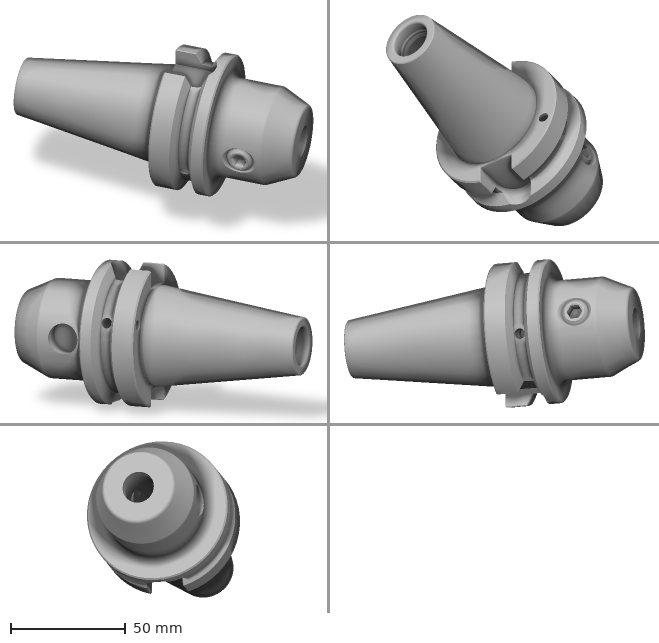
import cadquery as cq
import math

LENGTH = 128.4

GAUGE_X = 65.4
GAUGE_RADIUS = 22.2
TAPER_SLOPE = 7 / 48
SHANK_RADIUS = GAUGE_RADIUS - GAUGE_X * TAPER_SLOPE
SHANK_CHAMFER = 0.4
RELIEF_LENGTH = 1.4
RELIEF_DEPTH = 0.1
RELIEF_FILLET = 0.6

FLANGE_START = 67.4
FLANGE_END = 92.5
FLANGE_RADIUS = 63.0 / 2
FLANGE_CHAMFER = 0.6
GROOVE_X = 82.0
GROOVE_FLOOR_RADIUS = 26.3
GROOVE_FLOOR_WIDTH = 4.4
GROOVE_WALL_RADIUS = 27.2
GROOVE_WALL_WIDTH = 4.9
GROOVE_FLANK_ANGLE = 30.0

KEYWAY_WIDTH = 16.0
KEYWAY_FLOOR = 22.5
KEYWAY_END = 88.9
KEYWAY_CHAMFER = 0.4

NOSE_RADIUS = 22.0
NOSE_FLANGE_FILLET = 3.1
NOSE_CONE_START = 115.4
NOSE_CONE_ANGLE = 25.0
NOSE_ROUNDING = 1.5

BORE_RADIUS = 14.0 / 2
COUNTERBORE_RADIUS = 8.5
COUNTERBORE_DEPTH = 5.5
COUNTERBORE_ROUNDING = 1.0
STEP_RADIUS = 8.0
STEP_LENGTH = 1.3
THROAT_RADIUS = 15.3 / 2
THROAT_LENGTH = 1.2

TILTED_RADIUS = 2.2
RADIAL_RADIUS = 2.3
COOLANT_ANGLE = 20.5
COOLANT_PITCH_RADIUS = 26.8
COOLANT_TILT = 30.0

SCREW_X = LENGTH - 22.5
SCREW_RADIUS = 12.0 / 2
SCREW_HEAD_RADIUS = 4.5
SCREW_TIP_Y = -5.9
SCREW_HEAD_Y = -21.8
SCREW_SINK_RADIUS = 7.6
SOCKET_FLATS = 6.0
SOCKET_DEPTH = 5.1
SOCKET_TURN = 30.0
SOCKET_MOUTH_RADIUS = 3.7
SOCKET_MOUTH_DEPTH = 0.4

BALANCE_X = 103.5
BALANCE_RADIUS = 6.8
BALANCE_DEPTH = 7.7


def revolve_about_x(outline):
    """Solid of revolution from (x, radius) points, closed along the axis."""
    return cq.Workplane("XY").polyline(outline).close().revolve(360, (0, 0, 0), (1, 0, 0))


def revolve_about_y(outline, x):
    """Solid of revolution from (radius, y) points about a line parallel to Y."""
    profile = cq.Workplane("XY").polyline(outline).close()
    return profile.revolve(360, (0, 0, 0), (0, 1, 0)).translate((x, 0, 0))


def make_blank():
    """Turned outside shape, solid, with its fillets."""
    half_floor = GROOVE_FLOOR_WIDTH / 2
    half_wall = GROOVE_WALL_WIDTH / 2
    flank_run = (FLANGE_RADIUS - GROOVE_WALL_RADIUS) * math.tan(math.radians(GROOVE_FLANK_ANGLE))
    half_mouth = half_wall + flank_run
    relief_start = FLANGE_START - RELIEF_LENGTH
    taper_end_radius = SHANK_RADIUS + relief_start * TAPER_SLOPE
    relief_radius = taper_end_radius - RELIEF_DEPTH
    cone_drop = (LENGTH - NOSE_CONE_START) * math.tan(math.radians(NOSE_CONE_ANGLE))
    rim_radius = FLANGE_RADIUS - FLANGE_CHAMFER
    blank = revolve_about_x([
        (0, 0),
        (0, SHANK_RADIUS - SHANK_CHAMFER),
        (SHANK_CHAMFER, SHANK_RADIUS + SHANK_CHAMFER * TAPER_SLOPE),
        (relief_start, taper_end_radius),
        (relief_start, relief_radius),
        (FLANGE_START, relief_radius),
        (FLANGE_START, rim_radius),
        (FLANGE_START + FLANGE_CHAMFER, FLANGE_RADIUS),
        (GROOVE_X - half_mouth, FLANGE_RADIUS),
        (GROOVE_X - half_wall, GROOVE_WALL_RADIUS),
        (GROOVE_X - half_floor, GROOVE_FLOOR_RADIUS),
        (GROOVE_X + half_floor, GROOVE_FLOOR_RADIUS),
        (GROOVE_X + half_wall, GROOVE_WALL_RADIUS),
        (GROOVE_X + half_mouth, FLANGE_RADIUS),
        (FLANGE_END - FLANGE_CHAMFER, FLANGE_RADIUS),
        (FLANGE_END, rim_radius),
        (FLANGE_END, NOSE_RADIUS),
        (NOSE_CONE_START, NOSE_RADIUS),
        (LENGTH, NOSE_RADIUS - cone_drop),
        (LENGTH, 0),
    ])

    def circle_at(x, radius):
        reach = 0.01
        corner = (x - reach, -radius - reach, -radius - reach)
        opposite = (x + reach, radius + reach, radius + reach)
        return cq.selectors.BoxSelector(corner, opposite, boundingbox=True)

    blank = blank.edges(circle_at(LENGTH, NOSE_RADIUS - cone_drop)).fillet(NOSE_ROUNDING)
    blank = blank.edges(circle_at(NOSE_CONE_START, NOSE_RADIUS)).fillet(NOSE_ROUNDING)
    blank = blank.edges(circle_at(FLANGE_START, relief_radius)).fillet(RELIEF_FILLET)
    return blank.edges(circle_at(FLANGE_END, NOSE_RADIUS)).fillet(NOSE_FLANGE_FILLET)


def make_bore():
    """Through bore with a round-lipped counterbore, a step and a tapering throat at X = 0."""
    lip_radius = COUNTERBORE_RADIUS + COUNTERBORE_ROUNDING
    lip_bulge = COUNTERBORE_ROUNDING * (1 - math.sqrt(0.5))
    step_start = COUNTERBORE_DEPTH + COUNTERBORE_RADIUS - STEP_RADIUS
    throat_start = step_start + STEP_LENGTH
    return (
        cq.Workplane("XY")
        .lineTo(0, lip_radius)
        .threePointArc(
            (lip_bulge, COUNTERBORE_RADIUS + lip_bulge),
            (COUNTERBORE_ROUNDING, COUNTERBORE_RADIUS),
        )
        .lineTo(COUNTERBORE_DEPTH, COUNTERBORE_RADIUS)
        .lineTo(step_start, STEP_RADIUS)
        .lineTo(throat_start, STEP_RADIUS)
        .lineTo(throat_start, THROAT_RADIUS)
        .lineTo(throat_start + THROAT_LENGTH, BORE_RADIUS)
        .lineTo(LENGTH, BORE_RADIUS)
        .lineTo(LENGTH, 0)
        .close()
        .revolve(360, (0, 0, 0), (1, 0, 0))
    )


def make_keyway():
    """Round-ended slot on the +Z side, open toward the shank."""
    half_width = KEYWAY_WIDTH / 2
    arc_x = KEYWAY_END - half_width
    return (
        cq.Workplane("XY", origin=(0, 0, KEYWAY_FLOOR))
        .moveTo(GAUGE_X, -half_width)
        .lineTo(arc_x, -half_width)
        .threePointArc((KEYWAY_END, 0), (arc_x, half_width))
        .lineTo(GAUGE_X, half_width)
        .close()
        .extrude(FLANGE_RADIUS - KEYWAY_FLOOR)
    )


def make_coolant_passages():
    """One tilted flange passage and the deeper radial groove passage that it runs into."""
    tilt = math.radians(COOLANT_TILT)
    slope = math.tan(tilt)
    run = GROOVE_X - FLANGE_START
    meeting_radius = COOLANT_PITCH_RADIUS - run * slope
    lead = TILTED_RADIUS * slope
    inward = cq.Vector(math.cos(tilt), -math.sin(tilt), 0)
    outward = cq.Vector(0, 1, 0)
    face_centre = cq.Vector(FLANGE_START, COOLANT_PITCH_RADIUS, 0)
    floor_radius = meeting_radius - 2 * RADIAL_RADIUS
    floor_centre = cq.Vector(GROOVE_X, floor_radius, 0)
    tilted_length = lead + run / math.cos(tilt)
    radial_length = GROOVE_WALL_RADIUS - floor_radius
    tilted = cq.Solid.makeCylinder(TILTED_RADIUS, tilted_length, face_centre - inward * lead, inward)
    radial = cq.Solid.makeCylinder(RADIAL_RADIUS, radial_length, floor_centre, outward)
    return cq.Workplane(tilted).union(cq.Workplane(radial))


def make_screw_hole():
    """Radial hole for the set screw, countersunk at the nose surface."""
    sink_depth = SCREW_SINK_RADIUS - SCREW_RADIUS
    return revolve_about_y([
        (0, 0),
        (SCREW_RADIUS, 0),
        (SCREW_RADIUS, -NOSE_RADIUS + sink_depth),
        (SCREW_SINK_RADIUS, -NOSE_RADIUS),
        (SCREW_SINK_RADIUS, -FLANGE_RADIUS),
        (0, -FLANGE_RADIUS),
    ], SCREW_X)


def make_balance_hole():
    """Blind hole that is sunk into the nose opposite the set screw."""
    return (
        cq.Workplane("XZ", origin=(BALANCE_X, NOSE_RADIUS - BALANCE_DEPTH, 0))
        .circle(BALANCE_RADIUS)
        .extrude(-FLANGE_RADIUS)
    )


def chamfer_keyways(holder):
    """Break the keyway edges from the flange face to the floor of the gripper groove."""
    margin = 0.01
    half_width = KEYWAY_WIDTH / 2 + margin
    groove_floor_start = GROOVE_X - GROOVE_FLOOR_WIDTH / 2
    first_rim = cq.selectors.BoxSelector(
        (FLANGE_START - margin, -half_width, -FLANGE_RADIUS),
        (groove_floor_start + margin, half_width, FLANGE_RADIUS),
        boundingbox=True,
    )
    return holder.edges(first_rim).chamfer(KEYWAY_CHAMFER)


def make_holder():
    """Turned body with its keyways, passages, bore and cross holes cut."""
    holder = make_blank()
    for turn in (0, 180):
        holder = holder.cut(make_keyway().rotate((0, 0, 0), (1, 0, 0), turn))
    holder = chamfer_keyways(holder)
    for turn in (COOLANT_ANGLE, COOLANT_ANGLE + 180):
        holder = holder.cut(make_coolant_passages().rotate((0, 0, 0), (1, 0, 0), turn))
    return holder.cut(make_bore()).cut(make_screw_hole()).cut(make_balance_hole())


def make_set_screw():
    """Set screw with a chamfered head and a hexagon socket."""
    head_chamfer = SCREW_RADIUS - SCREW_HEAD_RADIUS
    screw = revolve_about_y([
        (0, SCREW_TIP_Y),
        (SCREW_RADIUS, SCREW_TIP_Y),
        (SCREW_RADIUS, SCREW_HEAD_Y + head_chamfer),
        (SCREW_HEAD_RADIUS, SCREW_HEAD_Y),
        (0, SCREW_HEAD_Y),
    ], SCREW_X)
    socket = (
        cq.Workplane("XZ", origin=(SCREW_X, SCREW_HEAD_Y, 0))
        .polygon(6, SOCKET_FLATS, circumscribed=True)
        .extrude(-SOCKET_DEPTH)
        .rotate((SCREW_X, 0, 0), (SCREW_X, 1, 0), SOCKET_TURN)
    )
    mouth = revolve_about_y([
        (0, SCREW_HEAD_Y),
        (SOCKET_MOUTH_RADIUS, SCREW_HEAD_Y),
        (SOCKET_FLATS / 2, SCREW_HEAD_Y + SOCKET_MOUTH_DEPTH),
        (0, SCREW_HEAD_Y + SOCKET_MOUTH_DEPTH),
    ], SCREW_X)
    return screw.cut(socket).cut(mouth)


holder = make_holder()
set_screw = make_set_screw()
result = cq.Compound.makeCompound([holder.solids().val(), set_screw.solids().val()])